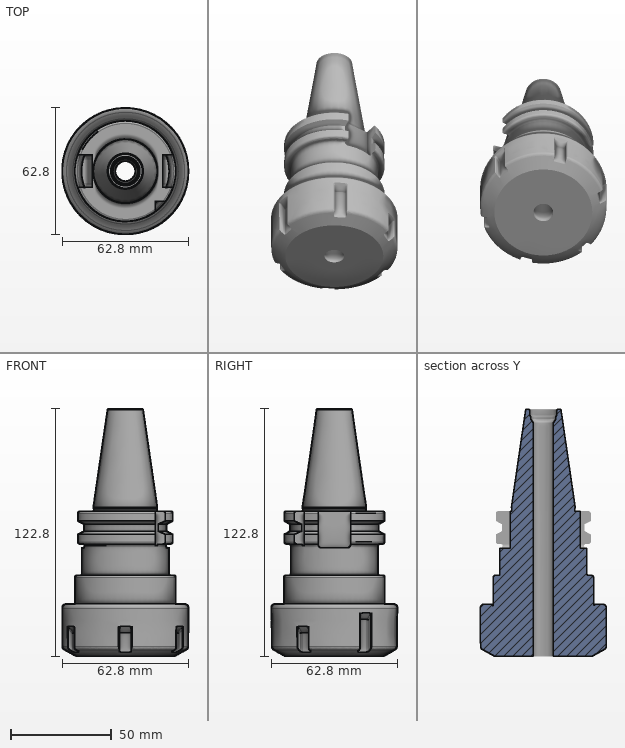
import cadquery as cq
import math


total_height = 122.8
taper_base = 73.9
flange_top = 72.1
flange_height = 16.3
flange_bottom = flange_top - flange_height
collar_top = 40.3
nut_top = 26.0

taper_radius = 16.0
neck_radius = 15.7
flange_radius = 24.9
body_radius = 21.7
collar_radius = 25.0
nut_radius = 31.4
bore_radius = 4.9

taper_slope = 7 / 48
tip_radius = taper_radius - taper_slope * (total_height - taper_base)
tip_chamfer = 0.4
neck_chamfer_height = 0.7
neck_fillet = 0.5

groove_radius = 22.1
groove_middle = 63.9
groove_floor_width = 3.4
groove_wall_angle = 30
flange_rounding = 1.1
body_fillet = 0.9

collar_rounding = 1.1
collar_fillet = 0.6
collar_end = 13.0

nut_draft = 0.1
nut_top_fillet = 2.1
nut_mouth_rounding = 1.1
nut_face_radius = 24.3
nut_cone_angle = 29
nut_bottom_fillet = 2.0

socket_mouth_radius = 7.2
socket_radius = 6.5
socket_mouth_depth = 0.5
socket_depth = 3.2
thread_radius = 6.1
thread_start_depth = 3.8
thread_depth = 5.0
cone_depth = 6.8

drive_slot_width = 16.2
drive_slot_bottom = 53.8
drive_slot_fillet = 2.0
left_slot_distance = 16.5
right_slot_distance = 18.5
notch_offset = 15.0

wrench_slot_width = 6.1
wrench_slot_floor = 28.1
wrench_slot_fillet = 0.6
wrench_slot_flare = 0.6
short_slot_top = 15.0
tall_slot_top = 21.6
short_slot_angles = (210, 270, 330)
tall_slot_angles = (30, 90, 150)


def turn(points):
    """Revolve a closed (radius, height) outline about the Z axis."""
    return cq.Workplane("XZ").polyline(points).close().revolve(360, (0, 0, 0), (0, 1, 0))


def make_holder():
    """Shank, grooved flange, body and collar as one turned piece."""
    groove_half = groove_floor_width / 2
    groove_rise = (flange_radius - groove_radius) * math.tan(math.radians(groove_wall_angle))
    groove_lip = groove_half + groove_rise
    outline = (
        cq.Workplane("XZ")
        .moveTo(0, total_height)
        .lineTo(tip_radius - tip_chamfer, total_height)
        .lineTo(tip_radius + taper_slope * tip_chamfer, total_height - tip_chamfer)
        .lineTo(taper_radius, taper_base)
        .lineTo(neck_radius, taper_base - neck_chamfer_height)
        .lineTo(neck_radius, flange_top + neck_fillet)
        .radiusArc((neck_radius + neck_fillet, flange_top), -neck_fillet)
        .lineTo(flange_radius - flange_rounding, flange_top)
        .radiusArc((flange_radius, flange_top - flange_rounding), flange_rounding)
        .lineTo(flange_radius, groove_middle + groove_lip)
        .lineTo(groove_radius, groove_middle + groove_half)
        .lineTo(groove_radius, groove_middle - groove_half)
        .lineTo(flange_radius, groove_middle - groove_lip)
        .lineTo(flange_radius, flange_bottom + flange_rounding)
        .radiusArc((flange_radius - flange_rounding, flange_bottom), flange_rounding)
        .lineTo(body_radius + body_fillet, flange_bottom)
        .radiusArc((body_radius, flange_bottom - body_fillet), -body_fillet)
        .lineTo(body_radius, collar_top + collar_fillet)
        .radiusArc((body_radius + collar_fillet, collar_top), -collar_fillet)
        .lineTo(collar_radius - collar_rounding, collar_top)
        .radiusArc((collar_radius, collar_top - collar_rounding), collar_rounding)
        .lineTo(collar_radius, collar_end)
        .lineTo(0, collar_end)
        .close()
    )
    return outline.revolve(360, (0, 0, 0), (0, 1, 0))


def make_nut():
    """Clamping nut: slightly drafted wall, rounded rim and a conical lower edge."""
    foot_radius = nut_radius - nut_draft
    cone_height = (foot_radius - nut_face_radius) * math.tan(math.radians(nut_cone_angle))
    nut = (
        cq.Workplane("XZ")
        .lineTo(nut_face_radius, 0)
        .lineTo(foot_radius, cone_height)
        .lineTo(nut_radius, nut_top - nut_top_fillet)
        .radiusArc((nut_radius - nut_top_fillet, nut_top), -nut_top_fillet)
        .lineTo(0, nut_top)
        .close()
        .revolve(360, (0, 0, 0), (0, 1, 0))
    )
    lower_edge = cq.selectors.BoxSelector(
        (-nut_radius, -nut_radius, cone_height / 2),
        (nut_radius, nut_radius, nut_top / 2),
        boundingbox=True,
    )
    return nut.edges(lower_edge).fillet(nut_bottom_fillet)


def make_mouth_gap():
    """Ring left between the collar and the rounded inner rim of the nut."""
    rim_radius = collar_radius + nut_mouth_rounding
    return (
        cq.Workplane("XZ")
        .moveTo(collar_radius, nut_top)
        .lineTo(rim_radius, nut_top)
        .radiusArc((collar_radius, nut_top - nut_mouth_rounding), -nut_mouth_rounding)
        .close()
        .revolve(360, (0, 0, 0), (0, 1, 0))
    )


def make_bore():
    """Through bore with the stepped pull stud socket at the tip."""
    return turn([
        (0, 0),
        (bore_radius, 0),
        (bore_radius, total_height - cone_depth),
        (thread_radius, total_height - thread_depth),
        (thread_radius, total_height - thread_start_depth),
        (socket_radius, total_height - socket_depth),
        (socket_radius, total_height - socket_mouth_depth),
        (socket_mouth_radius, total_height),
        (0, total_height),
    ])


def make_drive_slot(distance, side):
    """Flat-floored slot through the flange; side is -1 toward -X and +1 toward +X."""
    depth = flange_radius
    height = flange_top - drive_slot_bottom
    return (
        cq.Workplane("XY")
        .box(depth, drive_slot_width, height, centered=(True, True, False))
        .edges("|X and <Z")
        .fillet(drive_slot_fillet)
        .translate((side * (distance + depth / 2), 0, drive_slot_bottom))
    )


def make_notch():
    """Square orientation notch through the flange at its +X, -Y corner."""
    size = flange_radius
    return (
        cq.Workplane("XY")
        .box(size, size, flange_height + body_fillet, centered=False)
        .translate((notch_offset, -notch_offset - size, flange_bottom - body_fillet))
    )


def make_wrench_slot(top, angle):
    """Nut slot open at the bottom: roof falling inward at 45 degrees, side edges flared at the rim."""
    overshoot = 1.2
    slot_outside = nut_radius + overshoot
    outer_top = top + overshoot
    floor_top = outer_top - (slot_outside - wrench_slot_floor)
    half_width = wrench_slot_width / 2
    flare_start = nut_radius - wrench_slot_flare
    mouth_half_width = half_width + slot_outside - flare_start
    plan = (
        cq.Workplane("XY", origin=(0, 0, -overshoot))
        .polyline([
            (wrench_slot_floor, -half_width),
            (flare_start, -half_width),
            (slot_outside, -mouth_half_width),
            (slot_outside, mouth_half_width),
            (flare_start, half_width),
            (wrench_slot_floor, half_width),
        ])
        .close()
        .extrude(outer_top + overshoot)
    )
    side_profile = (
        cq.Workplane("XZ")
        .polyline([
            (wrench_slot_floor, -overshoot),
            (slot_outside, -overshoot),
            (slot_outside, outer_top),
            (wrench_slot_floor, floor_top),
        ])
        .close()
        .extrude(mouth_half_width, both=True)
    )
    slot = plan.intersect(side_profile)
    floor_edges = slot.faces("<X").edges("|Z")
    roof_edges = slot.faces(">Z").edges("not |Y")
    slot = floor_edges.add(roof_edges).fillet(wrench_slot_fillet)
    return slot.rotate((0, 0, 0), (0, 0, 1), angle)


result = make_holder().union(make_nut()).cut(make_mouth_gap()).cut(make_bore())
result = result.cut(make_drive_slot(left_slot_distance, -1))
result = result.cut(make_drive_slot(right_slot_distance, 1))
result = result.cut(make_notch())
for slot_angle in short_slot_angles:
    result = result.cut(make_wrench_slot(short_slot_top, slot_angle))
for slot_angle in tall_slot_angles:
    result = result.cut(make_wrench_slot(tall_slot_top, slot_angle))